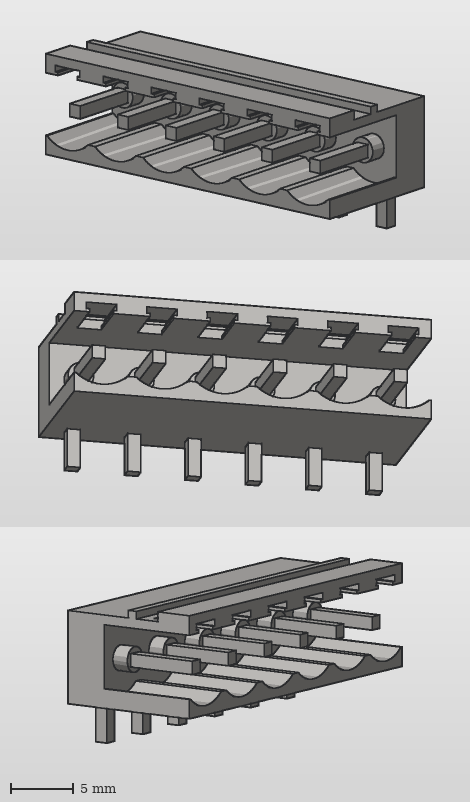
import cadquery as cq


pin_count = 6
pitch = 5.0
first_pin_x = 2.28
pin_centres_x = [first_pin_x + i * pitch for i in range(pin_count)]

length = 29.6
depth = 12.0
body_height = 7.65
roof_thickness = 0.8
back_wall = 3.58
cavity_depth = depth - back_wall
roof_underside = body_height - roof_thickness
floor_peak = 1.6

lip_depth = 3.1
lip_height = 0.8
rib_back_offset = 5.98
rib_width = 0.8
rib_height = 0.62

trough_width = 4.25
trough_sag = 0.83
trough_radius = ((trough_width / 2) ** 2 + trough_sag**2) / (2 * trough_sag)
trough_axis_z = floor_peak - trough_sag + trough_radius

slot_depth = 4.2
slot_wide_width = 2.52
slot_neck_width = 1.98
slot_neck_height = 0.27

pin_size = 1.1
pin_axis_z = 3.82
pin_front_y = 0.95
tail_length = 3.2
tail_back_offset = 2.07
tail_axis_y = depth - tail_back_offset
boss_diameter = 2.1
boss_length = 1.42


def box(x_min, x_max, y_min, y_max, z_min, z_max):
    """Axis-aligned block between the given limits."""
    size = (x_max - x_min, y_max - y_min, z_max - z_min)
    return cq.Workplane("XY").box(*size, centered=False).translate((x_min, y_min, z_min))


def cylinder_along_y(x, z, radius, y_min, y_max):
    """Cylinder parallel to Y, centred on the given X and Z."""
    return cq.Workplane("XZ", origin=(x, y_min, z)).circle(radius).extrude(y_min - y_max)


def housing_shell():
    """Constant section along X: back wall, floor, and roof with its rib and lip."""
    rib_back_y = depth - rib_back_offset
    rib_front_y = rib_back_y - rib_width
    rib_top = body_height + rib_height
    lip_top = body_height + lip_height
    section = [
        (0, 0),
        (depth, 0),
        (depth, body_height),
        (rib_back_y, body_height),
        (rib_back_y, rib_top),
        (rib_front_y, rib_top),
        (rib_front_y, body_height),
        (lip_depth, body_height),
        (lip_depth, lip_top),
        (0, lip_top),
        (0, roof_underside),
        (cavity_depth, roof_underside),
        (cavity_depth, floor_peak),
        (0, floor_peak),
    ]
    return cq.Workplane("YZ").polyline(section).close().extrude(length)


def coding_slot(x):
    """T-shaped slot: narrow neck in the roof underside, wide part up to the level of the roof top."""
    neck_top = roof_underside + slot_neck_height
    half_neck = slot_neck_width / 2
    half_wide = slot_wide_width / 2
    neck = box(x - half_neck, x + half_neck, 0, slot_depth, roof_underside, neck_top)
    wide = box(x - half_wide, x + half_wide, 0, slot_depth, neck_top, body_height)
    return neck.union(wide)


def pin(x):
    """Square pin: horizontal contact bent down into a solder tail."""
    half = pin_size / 2
    tail_back_y = tail_axis_y + half
    left, right = x - half, x + half
    contact = box(left, right, pin_front_y, tail_back_y, pin_axis_z - half, pin_axis_z + half)
    tail = box(left, right, tail_axis_y - half, tail_back_y, -tail_length, pin_axis_z)
    return contact.union(tail)


pins = [pin(x) for x in pin_centres_x]

housing = housing_shell()
for x in pin_centres_x:
    trough = cylinder_along_y(x, trough_axis_z, trough_radius, 0, cavity_depth)
    trough = trough.intersect(box(0, length, 0, cavity_depth, 0, roof_underside))
    boss = cylinder_along_y(x, pin_axis_z, boss_diameter / 2, cavity_depth - boss_length, cavity_depth)
    housing = housing.cut(trough).cut(coding_slot(x)).union(boss)
for body in pins:
    housing = housing.cut(body)

result = cq.Compound.makeCompound([housing.val(), *[body.val() for body in pins]])